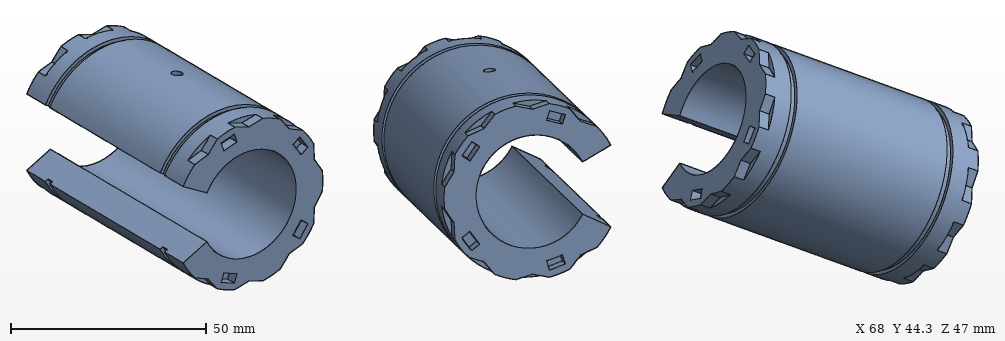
import cadquery as cq
import math


length = 68.0
outer_radius = 23.5
bore_radius = 15.0
opening_angle = 55.0

groove_span = 51.7
groove_width = 1.85
groove_root_radius = 22.5

notch_pitch_angle = 36.0
notch_count = 8
first_notch_angle = -126.0
notch_root_radius = 21.9
notch_flank_angle = 15.0
notch_depth = 3.0

pocket_angles = (36.0, -36.0, 108.0, -108.0)
pocket_centre_radius = 20.25
pocket_tangential_size = 4.4
pocket_radial_size = 2.6
pocket_depth = 3.0

hole_diameter = 3.0
hole_offset = 2.05
hole_depth = 3.0

clearance = 2.0


def ring(x_start, width, outer, inner):
    """Tube along X, starting at x_start."""
    plane = cq.Workplane("YZ", origin=(x_start, 0, 0))
    return plane.circle(outer).circle(inner).extrude(width)


def both_ends(tool):
    """The tool together with its mirror image at the opposite end."""
    return tool.union(tool.mirror("YZ"))


def make_sleeve():
    tube = ring(-length / 2, length, outer_radius, bore_radius)
    reach = 2 * outer_radius
    half_width = reach * math.tan(math.radians(opening_angle / 2))
    wedge_points = [(0, 0), (-reach, half_width), (-reach, -half_width)]
    wedge_plane = cq.Workplane("YZ", origin=(-length / 2, 0, 0))
    wedge = wedge_plane.polyline(wedge_points).close().extrude(length)
    return tube.cut(wedge)


def make_grooves():
    groove = ring(-groove_span / 2, groove_width, outer_radius + clearance, groove_root_radius)
    return both_ends(groove)


def make_notches():
    top_radius = outer_radius + clearance
    half_width = (top_radius - notch_root_radius) / math.tan(math.radians(notch_flank_angle))
    vee_points = [(notch_root_radius, 0), (top_radius, half_width), (top_radius, -half_width)]
    plane = cq.Workplane("YZ", origin=(-length / 2 - clearance, 0, 0))
    vee = plane.polyline(vee_points).close().extrude(notch_depth + clearance)
    notches = cq.Workplane()
    for index in range(notch_count):
        angle = first_notch_angle + index * notch_pitch_angle
        notches = notches.add(vee.rotate((0, 0, 0), (1, 0, 0), angle))
    return both_ends(notches.combine())


def make_pockets():
    block = (
        cq.Workplane("YZ", origin=(-length / 2 - clearance, 0, 0))
        .center(pocket_centre_radius, 0)
        .rect(pocket_radial_size, pocket_tangential_size)
        .extrude(pocket_depth + clearance)
    )
    pockets = cq.Workplane()
    for angle in pocket_angles:
        pockets = pockets.add(block.rotate((0, 0, 0), (1, 0, 0), angle))
    return both_ends(pockets.combine())


def make_hole():
    plane = cq.Workplane("XY", origin=(0, hole_offset, outer_radius - hole_depth))
    return plane.circle(hole_diameter / 2).extrude(hole_depth + clearance)


result = (
    make_sleeve()
    .cut(make_grooves())
    .cut(make_notches())
    .cut(make_pockets())
    .cut(make_hole())
)